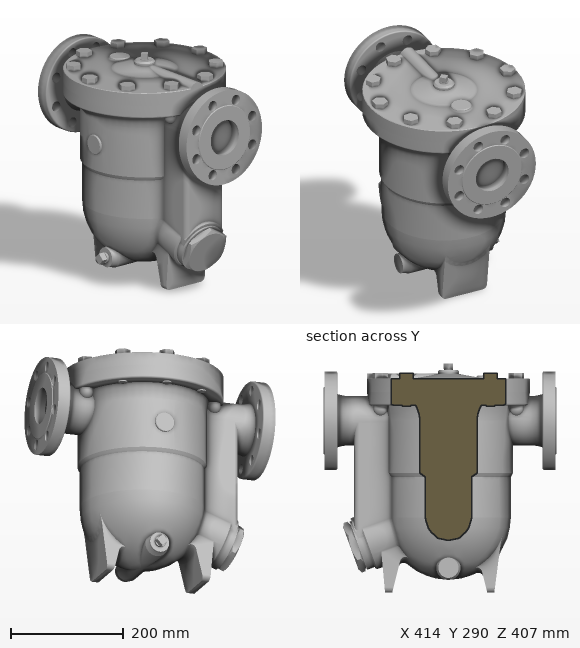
import cadquery as cq
import math


UPPER_RADIUS = 115.0
LOWER_RADIUS = 111.0
NECK_RADIUS = 118.5
STEP_TOP_Z = -92.7
STEP_BOTTOM_Z = -99.7
DOME_CENTER_Z = -171.5

FLANGE_RADIUS = 145.0
FLANGE_BOTTOM_Z = 27.4
JOINT_Z = 51.0
COVER_TOP_Z = 75.0
FLANGE_EDGE_ROUND = 3.0
COVER_EDGE_CHAMFER = 1.0
RELIEF_INSET = 5.0
BOLT_COUNT = 10
BOLT_CIRCLE_RADIUS = 127.0
BOLT_HEAD_FLATS = 24.5
BOLT_HEAD_HEIGHT = 9.8
BOLT_SHANK_DIAMETER = 16.0
BOLT_END_DROP = 2.0
CAP_RADIUS = 12.5
CAP_LENGTH = 6.0

CONE_BASE_RADIUS = 60.0
CONE_FOOT_RADIUS = 54.5
CONE_FOOT_HEIGHT = 1.6
CONE_TOP_RADIUS = 17.5
CONE_TOP_HEIGHT = 8.4
VENT_SEAT_RADIUS = 18.8
VENT_SEAT_TOP_Z = 90.5
VENT_SEAT_CHAMFER = 3.0
VENT_NECK_DIAMETER = 16.0
VENT_NECK_LENGTH = 1.2
VENT_SQUARE_SIDE = 12.0
OVERALL_TOP_Z = 102.0
DUCT_RADIUS = 15.0
DUCT_AXIS_Z = 69.2
PAD_X = -68.8
PAD_RADIUS = 18.5
PAD_HEIGHT = 5.0
PAD_FOOT_ROUND = 3.5
PAD_TOP_CHAMFER = 1.5

PIPE_DIAMETER = 88.0
HUB_DIAMETER = 95.0
HUB_LENGTH = 19.5
PIPE_BORE_DIAMETER = 65.0
PIPE_BORE_DEPTH = 20.0
PIPE_FLANGE_DIAMETER = 175.0
PIPE_FLANGE_THICKNESS = 23.2
PIPE_FLANGE_ROUND = 2.5
RAISED_FACE_DIAMETER = 119.4
RAISED_FACE_HEIGHT = 1.5
RAISED_FACE_CHAMFER = 1.2
PIPE_BOLT_CIRCLE = 140.0
PIPE_BOLT_HOLE = 19.0
PIPE_BOLT_COUNT = 8
INLET_END_X = 192.0
OUTLET_END_X = 222.0

RISER_END_X = 167.4
RISER_WIDTH = 87.8
RISER_CORNER_ROUND = 8.5
RISER_BOTTOM_Z = -208.0
PORT_TILT = 20.0
PORT_AXIS_Z = -163.8
PORT_RADIUS = 50.5
PORT_START = 70.0
PORT_END = 209.0
PORT_CHAMFER = 3.0
PORT_BLEND = 6.0
BLEND_ZONE_X = (90.0, 130.0)
BLEND_ZONE_Z = (-230.0, STEP_BOTTOM_Z)
BLEND_MIN_LENGTH = 20.0
PORT_LUG_END = 223.0
PORT_LUG_LOW = 10.0
PLUG_COLLAR_RADIUS = 45.5
PLUG_HEX_START = 226.5
PLUG_HEX_END = 240.5
PLUG_HEX_CORNERS = 94.0
PLUG_HEX_FACE_DIAMETER = 80.0
PLUG_HEX_CHAMFER = 3.8

DRAIN_Z = -261.2
DRAIN_RADIUS = 21.5
DRAIN_SHOULDER_RADIUS = 19.5
DRAIN_END_RADIUS = 18.0
DRAIN_TAPER_START = 75.0
DRAIN_TAPER_END = 81.0
DRAIN_FACE = 86.5
DRAIN_LENGTH = 90.0
PLUG_NECK_RADIUS = 9.5
PLUG_NECK_LENGTH = 4.5
PLUG_SQUARE_SIDE = 14.7
PLUG_SQUARE_LENGTH = 11.0
DISC_DIAMETER = 36.0
DISC_Z = -44.4
DISC_FACE_Y = -118.0
DISC_CHAMFER = 1.0
FOOT_BOTTOM_Z = -305.0
FOOT_TOP_Z = -205.0
FOOT_WIDTH = 89.0
FOOT_CORNER_ROUND = 9.0
FOOT_INNER_BLEND = 9.0
LEFT_FOOT_OUTER_BLEND = 20.0
LEFT_FOOT_OUTER = (-81.5, -94.5)
LEFT_FOOT_INNER = (-69.0, -44.0)
RIGHT_FOOT_OUTER = (112.7, 121.7)
RIGHT_FOOT_INNER = (99.7, 75.0)

EDGE_TOLERANCE = 0.1


def revolve_z(points):
    """Solid of revolution about Z from (radius, z) points."""
    return cq.Workplane("XZ").polyline(points).close().revolve(360, (0, 0), (0, 1))


def bolt_angles():
    return [90 + i * 360 / BOLT_COUNT for i in range(BOLT_COUNT)]


def make_body():
    bottom_z = DOME_CENTER_Z - LOWER_RADIUS
    diagonal = LOWER_RADIUS * math.sqrt(0.5)
    return (
        cq.Workplane("XZ")
        .moveTo(0, FLANGE_BOTTOM_Z)
        .lineTo(NECK_RADIUS, FLANGE_BOTTOM_Z)
        .threePointArc(
            (UPPER_RADIUS + (NECK_RADIUS - UPPER_RADIUS) / 4, FLANGE_BOTTOM_Z / 2),
            (UPPER_RADIUS, 0),
        )
        .lineTo(UPPER_RADIUS, STEP_TOP_Z)
        .lineTo(LOWER_RADIUS, STEP_BOTTOM_Z)
        .lineTo(LOWER_RADIUS, DOME_CENTER_Z)
        .threePointArc((diagonal, DOME_CENTER_Z - diagonal), (0, bottom_z))
        .close()
        .revolve(360, (0, 0), (0, 1))
        .rotate((0, 0, 0), (0, 0, 1), 90)
    )


def make_body_flange():
    """Round flange whose two pipe sides lean inward towards the bottom."""
    height = JOINT_Z - FLANGE_BOTTOM_Z
    flange = cq.Workplane("XY").workplane(offset=FLANGE_BOTTOM_Z).circle(FLANGE_RADIUS).extrude(height)
    flange = flange.faces("<Z").edges().fillet(FLANGE_EDGE_ROUND)
    bottom_x = FLANGE_RADIUS - RELIEF_INSET
    envelope = (
        cq.Workplane("XZ")
        .polyline([
            (-bottom_x, FLANGE_BOTTOM_Z),
            (bottom_x, FLANGE_BOTTOM_Z),
            (FLANGE_RADIUS, JOINT_Z),
            (-FLANGE_RADIUS, JOINT_Z),
        ])
        .close()
        .extrude(FLANGE_RADIUS + 1, both=True)
    )
    return flange.intersect(envelope)


def make_pad():
    """Low round pad on the cover with a flared foot."""
    top_z = COVER_TOP_Z + PAD_HEIGHT
    flare_corner = PAD_FOOT_ROUND * (1 - math.sqrt(0.5))
    return (
        cq.Workplane("XZ")
        .moveTo(0, JOINT_Z)
        .lineTo(PAD_RADIUS + PAD_FOOT_ROUND, JOINT_Z)
        .lineTo(PAD_RADIUS + PAD_FOOT_ROUND, COVER_TOP_Z)
        .threePointArc(
            (PAD_RADIUS + flare_corner, COVER_TOP_Z + flare_corner),
            (PAD_RADIUS, COVER_TOP_Z + PAD_FOOT_ROUND),
        )
        .lineTo(PAD_RADIUS - PAD_TOP_CHAMFER, top_z)
        .lineTo(0, top_z)
        .close()
        .revolve(360, (0, 0), (0, 1))
        .translate((PAD_X, 0, 0))
    )


def make_cover():
    cover = (
        cq.Workplane("XY").workplane(offset=JOINT_Z)
        .circle(FLANGE_RADIUS).extrude(COVER_TOP_Z - JOINT_Z)
        .faces(">Z").edges().chamfer(COVER_EDGE_CHAMFER)
    )
    cone = revolve_z([
        (0, JOINT_Z),
        (CONE_BASE_RADIUS, JOINT_Z),
        (CONE_BASE_RADIUS, COVER_TOP_Z),
        (CONE_FOOT_RADIUS, COVER_TOP_Z + CONE_FOOT_HEIGHT),
        (CONE_TOP_RADIUS, COVER_TOP_Z + CONE_TOP_HEIGHT),
        (0, COVER_TOP_Z + CONE_TOP_HEIGHT),
    ])
    seat = (
        cq.Workplane("XY").workplane(offset=JOINT_Z)
        .circle(VENT_SEAT_RADIUS).extrude(VENT_SEAT_TOP_Z - JOINT_Z)
        .faces(">Z").edges().chamfer(VENT_SEAT_CHAMFER)
    )
    neck = (
        cq.Workplane("XY").workplane(offset=VENT_SEAT_TOP_Z)
        .circle(VENT_NECK_DIAMETER / 2).extrude(VENT_NECK_LENGTH)
    )
    head_z = VENT_SEAT_TOP_Z + VENT_NECK_LENGTH
    head = (
        cq.Workplane("XY").workplane(offset=head_z)
        .polygon(4, VENT_SQUARE_SIDE * math.sqrt(2)).extrude(OVERALL_TOP_Z - head_z)
    )
    duct = cq.Workplane("YZ").center(0, DUCT_AXIS_Z).circle(DUCT_RADIUS).extrude(FLANGE_RADIUS + 1)
    duct_limit = cq.Workplane("XY").workplane(offset=JOINT_Z).circle(FLANGE_RADIUS).extrude(OVERALL_TOP_Z)
    duct = duct.intersect(duct_limit)
    return cover.union(cone).union(make_pad()).union(duct).union(seat).union(neck).union(head)


def make_bolts():
    """Hex heads on the cover and shank ends below the body flange."""
    end_z = FLANGE_BOTTOM_Z - BOLT_END_DROP
    bolt = (
        cq.Workplane("XY").workplane(offset=end_z)
        .circle(BOLT_SHANK_DIAMETER / 2).extrude(COVER_TOP_Z - end_z)
        .faces(">Z").workplane()
        .polygon(6, BOLT_HEAD_FLATS / math.cos(math.pi / 6)).extrude(BOLT_HEAD_HEIGHT)
        .rotate((0, 0, 0), (0, 0, 1), 90)
        .translate((BOLT_CIRCLE_RADIUS, 0, 0))
    )
    bolts = cq.Workplane("XY")
    for angle in bolt_angles():
        bolts = bolts.add(bolt.rotate((0, 0, 0), (0, 0, 1), angle))
    return bolts


def make_bolt_caps():
    """Round-ended bosses below the four bolts next to the pipes."""
    sphere_z = FLANGE_BOTTOM_Z - CAP_LENGTH
    cap = (
        cq.Workplane("XY").workplane(offset=sphere_z)
        .circle(CAP_RADIUS).extrude(CAP_LENGTH + FLANGE_EDGE_ROUND)
        .union(cq.Workplane("XY").sphere(CAP_RADIUS).translate((0, 0, sphere_z)))
        .translate((BOLT_CIRCLE_RADIUS, 0, 0))
    )
    half_pitch = 180 / BOLT_COUNT
    caps = cq.Workplane("XY")
    for angle in (half_pitch, -half_pitch, 180 + half_pitch, 180 - half_pitch):
        caps = caps.add(cap.rotate((0, 0, 0), (0, 0, 1), angle))
    return caps


def make_connection(end_x):
    """Pipe with hub and drilled flange, running from the vessel axis to +X."""
    face_x = end_x - RAISED_FACE_HEIGHT
    back_x = face_x - PIPE_FLANGE_THICKNESS
    hub_x = back_x - HUB_LENGTH
    pipe_radius = PIPE_DIAMETER / 2
    hub_radius = HUB_DIAMETER / 2
    pipe = (
        cq.Workplane("XY")
        .moveTo(0, 0)
        .lineTo(0, pipe_radius)
        .lineTo(hub_x, pipe_radius)
        .threePointArc(
            (hub_x + HUB_LENGTH / 2, pipe_radius + (hub_radius - pipe_radius) / 4),
            (back_x, hub_radius),
        )
        .lineTo(back_x, 0)
        .close()
        .revolve(360, (0, 0), (1, 0))
    )
    flange = (
        cq.Workplane("YZ").workplane(offset=back_x)
        .circle(PIPE_FLANGE_DIAMETER / 2).extrude(PIPE_FLANGE_THICKNESS)
        .faces("<X").edges().fillet(PIPE_FLANGE_ROUND)
        .faces(">X").workplane(origin=(face_x, 0, 0))
        .circle(RAISED_FACE_DIAMETER / 2).extrude(RAISED_FACE_HEIGHT)
        .faces(">X").edges().chamfer(RAISED_FACE_CHAMFER)
    )
    holes = (
        cq.Workplane("YZ").workplane(offset=back_x)
        .polarArray(PIPE_BOLT_CIRCLE / 2, 180 / PIPE_BOLT_COUNT, 360, PIPE_BOLT_COUNT)
        .circle(PIPE_BOLT_HOLE / 2).extrude(PIPE_FLANGE_THICKNESS + RAISED_FACE_HEIGHT)
    )
    return pipe.union(flange.cut(holes))


def make_bore(end_x):
    return (
        cq.Workplane("YZ").workplane(offset=end_x - PIPE_BORE_DEPTH)
        .circle(PIPE_BORE_DIAMETER / 2).extrude(PIPE_BORE_DEPTH)
    )


def port_plane(distance):
    """Plane across the strainer port axis at a distance from the vessel axis."""
    tilt = math.radians(PORT_TILT)
    direction = (math.cos(tilt), 0, -math.sin(tilt))
    origin = (distance * direction[0], 0, PORT_AXIS_Z + distance * direction[2])
    return cq.Plane(origin=origin, xDir=(math.sin(tilt), 0, math.cos(tilt)), normal=direction)


def port_distance(total):
    """Distance along the port axis from the vessel axis, from one measured from the origin."""
    return total + PORT_AXIS_Z * math.sin(math.radians(PORT_TILT))


def make_riser():
    """Upright box below the outlet pipe, nearly as wide as the pipe and trimmed square to the strainer port."""
    box = (
        cq.Workplane("XY").workplane(offset=RISER_BOTTOM_Z)
        .center(RISER_END_X / 2, 0).rect(RISER_END_X, RISER_WIDTH).extrude(-RISER_BOTTOM_Z)
        .edges("|Z and >X").fillet(RISER_CORNER_ROUND)
    )
    beyond_port = cq.Workplane(port_plane(port_distance(PORT_LUG_END))).circle(RISER_WIDTH).extrude(RISER_WIDTH)
    return box.cut(beyond_port)


def make_port_boss():
    start = port_distance(PORT_START)
    return cq.Workplane(port_plane(start)).circle(PORT_RADIUS).extrude(port_distance(PORT_END) - start)


def make_port_end():
    """Turned end of the port, the lug above it and the hexagonal plug."""
    end = port_distance(PORT_END)
    lug_length = PORT_LUG_END - PORT_END
    hex_start = port_distance(PLUG_HEX_START)
    hex_length = PLUG_HEX_END - PLUG_HEX_START
    taper = (
        cq.Workplane(port_plane(end)).circle(PORT_RADIUS).extrude(PORT_CHAMFER)
        .faces(cq.selectors.DirectionMinMaxSelector(port_plane(0).zDir)).edges()
        .chamfer(PORT_CHAMFER - EDGE_TOLERANCE)
    )
    collar = cq.Workplane(port_plane(end)).circle(PLUG_COLLAR_RADIUS).extrude(hex_start - end)
    lug_height = PORT_RADIUS - PORT_LUG_LOW
    lug_limit = (
        cq.Workplane(port_plane(end)).center(PORT_LUG_LOW + lug_height / 2, 0)
        .rect(lug_height, RISER_WIDTH).extrude(lug_length)
    )
    lug = cq.Workplane(port_plane(end)).circle(PORT_RADIUS).extrude(lug_length).intersect(lug_limit)
    hexagon = cq.Workplane(port_plane(hex_start)).polygon(6, PLUG_HEX_CORNERS).extrude(hex_length)
    face_radius = PLUG_HEX_FACE_DIAMETER / 2
    corner_radius = PLUG_HEX_CORNERS / 2
    blank = (
        cq.Workplane(port_plane(hex_start)).transformed(rotate=(90, 0, 0))
        .polyline([
            (0, 0),
            (face_radius, 0),
            (corner_radius, PLUG_HEX_CHAMFER),
            (corner_radius, hex_length - PLUG_HEX_CHAMFER),
            (face_radius, hex_length),
            (0, hex_length),
        ])
        .close()
        .revolve(360, (0, 0), (0, 1))
    )
    return taper.union(collar).union(lug).union(hexagon.intersect(blank))


def make_drain():
    """Cross boss through the dome bottom, with a square-headed plug at -Y."""
    boss = (
        cq.Workplane("YZ")
        .polyline([
            (-DRAIN_LENGTH, 0),
            (-DRAIN_LENGTH, DRAIN_END_RADIUS),
            (-DRAIN_FACE, DRAIN_END_RADIUS),
            (-DRAIN_TAPER_END, DRAIN_SHOULDER_RADIUS),
            (-DRAIN_TAPER_START, DRAIN_RADIUS),
            (DRAIN_TAPER_START, DRAIN_RADIUS),
            (DRAIN_TAPER_END, DRAIN_SHOULDER_RADIUS),
            (DRAIN_FACE, DRAIN_END_RADIUS),
            (DRAIN_LENGTH, DRAIN_END_RADIUS),
            (DRAIN_LENGTH, 0),
        ])
        .close()
        .revolve(360, (0, 0), (1, 0))
    )
    neck = cq.Workplane("XZ").workplane(offset=DRAIN_LENGTH).circle(PLUG_NECK_RADIUS).extrude(PLUG_NECK_LENGTH)
    head = (
        cq.Workplane("XZ").workplane(offset=DRAIN_LENGTH + PLUG_NECK_LENGTH)
        .polygon(4, PLUG_SQUARE_SIDE * math.sqrt(2)).extrude(PLUG_SQUARE_LENGTH)
    )
    return boss.union(neck).union(head).translate((0, 0, DRAIN_Z))


def make_disc():
    return (
        cq.Workplane("XZ").workplane(offset=UPPER_RADIUS / 2)
        .center(0, DISC_Z).circle(DISC_DIAMETER / 2).extrude(-DISC_FACE_Y - UPPER_RADIUS / 2)
        .faces("<Y").edges().chamfer(DISC_CHAMFER)
    )


def make_foot(outer, inner):
    foot = (
        cq.Workplane("XZ")
        .polyline([
            (outer[1], FOOT_TOP_Z),
            (outer[0], FOOT_BOTTOM_Z),
            (inner[0], FOOT_BOTTOM_Z),
            (inner[1], FOOT_TOP_Z),
        ])
        .close()
        .extrude(FOOT_WIDTH / 2, both=True)
    )
    return foot.faces("<Z").edges("|X").fillet(FOOT_CORNER_ROUND)


def foot_seam(body, near_x):
    """Edge across a foot's full width where a foot face meets the dome: the one nearest to near_x."""

    def spans_foot(edge):
        box = edge.BoundingBox()
        full_width = abs(box.ylen - FOOT_WIDTH) < EDGE_TOLERANCE
        return full_width and box.zmin > FOOT_BOTTOM_Z + FOOT_CORNER_ROUND + EDGE_TOLERANCE

    seams = filter(spans_foot, body.edges().vals())
    return min(seams, key=lambda edge: abs(edge.Center().x - near_x))


def add_feet(body):
    body = body.union(make_foot(LEFT_FOOT_OUTER, LEFT_FOOT_INNER))
    body = body.newObject([foot_seam(body, LEFT_FOOT_INNER[1])]).fillet(FOOT_INNER_BLEND)
    body = body.newObject([foot_seam(body, LEFT_FOOT_OUTER[1])]).fillet(LEFT_FOOT_OUTER_BLEND)
    body = body.union(make_foot(RIGHT_FOOT_OUTER, RIGHT_FOOT_INNER))
    return body.newObject([foot_seam(body, RIGHT_FOOT_INNER[1])]).fillet(FOOT_INNER_BLEND)


def add_riser_and_port(body):
    """Add riser and port boss, then round the long seams between riser, boss, vessel and right foot."""
    body = body.union(make_riser()).union(make_port_boss())
    half_depth = PORT_RADIUS + 1
    seam_zone = cq.selectors.BoxSelector(
        (BLEND_ZONE_X[0], -half_depth, BLEND_ZONE_Z[0]),
        (BLEND_ZONE_X[1], half_depth, BLEND_ZONE_Z[1]),
    )
    seams = [edge for edge in body.edges(seam_zone).vals() if edge.Length() > BLEND_MIN_LENGTH]
    return body.newObject(seams).fillet(PORT_BLEND).union(make_port_end())


body = add_riser_and_port(add_feet(make_body()))
body = body.union(make_drain()).union(make_disc())
body = body.union(make_connection(OUTLET_END_X))
body = body.union(make_connection(INLET_END_X).rotate((0, 0, 0), (0, 0, 1), 180))
body = body.union(make_body_flange())
for cap in make_bolt_caps().vals():
    body = body.union(cq.Workplane(cap))
body = body.union(make_cover(), clean=False)
for bolt in make_bolts().vals():
    body = body.union(cq.Workplane(bolt), clean=False)
body = body.cut(make_bore(OUTLET_END_X), clean=False)
result = body.cut(make_bore(INLET_END_X).rotate((0, 0, 0), (0, 0, 1), 180), clean=False)